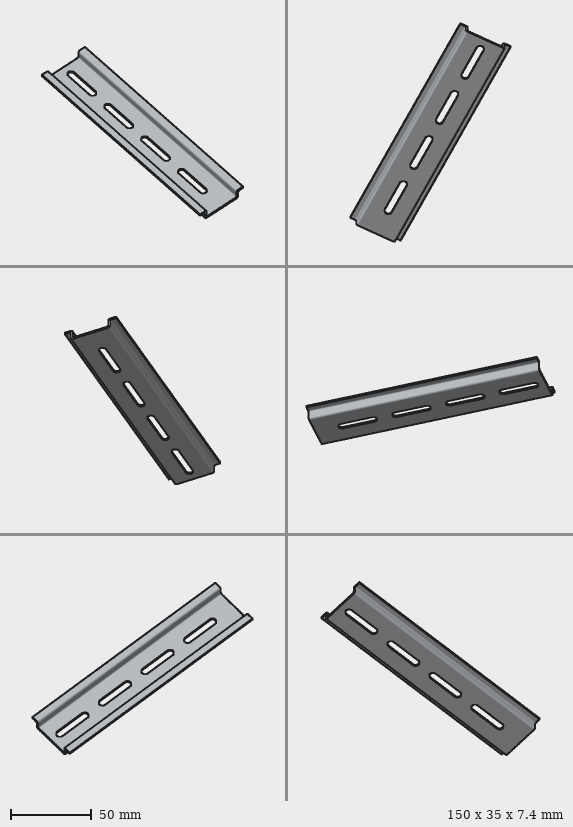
import cadquery as cq

length = 150.0
width = 35.0
height = 7.4

thickness = 1.4
channel_width = 27.0
inner_bend_radius = 0.9
outer_bend_radius = 1.5

slot_count = 4
slot_length = 25.0
slot_width = 4.6
slot_pitch = 35.0
first_slot_start = 5.0


def make_rail():
    """Extrude the hat section along X, with the lips turned outward at the top."""
    lip_edge = width / 2
    wall_outside = channel_width / 2
    wall_inside = wall_outside - thickness
    lip_underside = height - thickness

    outline = [
        (-lip_edge, height),
        (-wall_inside, height),
        (-wall_inside, thickness),
        (wall_inside, thickness),
        (wall_inside, height),
        (lip_edge, height),
        (lip_edge, lip_underside),
        (wall_outside, lip_underside),
        (wall_outside, 0),
        (-wall_outside, 0),
        (-wall_outside, lip_underside),
        (-lip_edge, lip_underside),
    ]
    rail = cq.Workplane("YZ").polyline(outline).close().extrude(length)

    def round_bends(body, y, z, radius):
        for side in (-1, 1):
            corner = cq.NearestToPointSelector((length / 2, side * y, z))
            body = body.edges("|X").edges(corner).fillet(radius)
        return body

    rail = round_bends(rail, wall_outside, 0, outer_bend_radius)
    rail = round_bends(rail, wall_inside, height, outer_bend_radius)
    rail = round_bends(rail, wall_inside, thickness, inner_bend_radius)
    return round_bends(rail, wall_outside, lip_underside, inner_bend_radius)


def make_slots():
    """Round-ended cutters passing through the floor."""
    first_center = first_slot_start + slot_length / 2
    centers = [(first_center + i * slot_pitch, 0) for i in range(slot_count)]
    return cq.Workplane("XY").pushPoints(centers).slot2D(slot_length, slot_width).extrude(thickness)


result = make_rail().cut(make_slots())